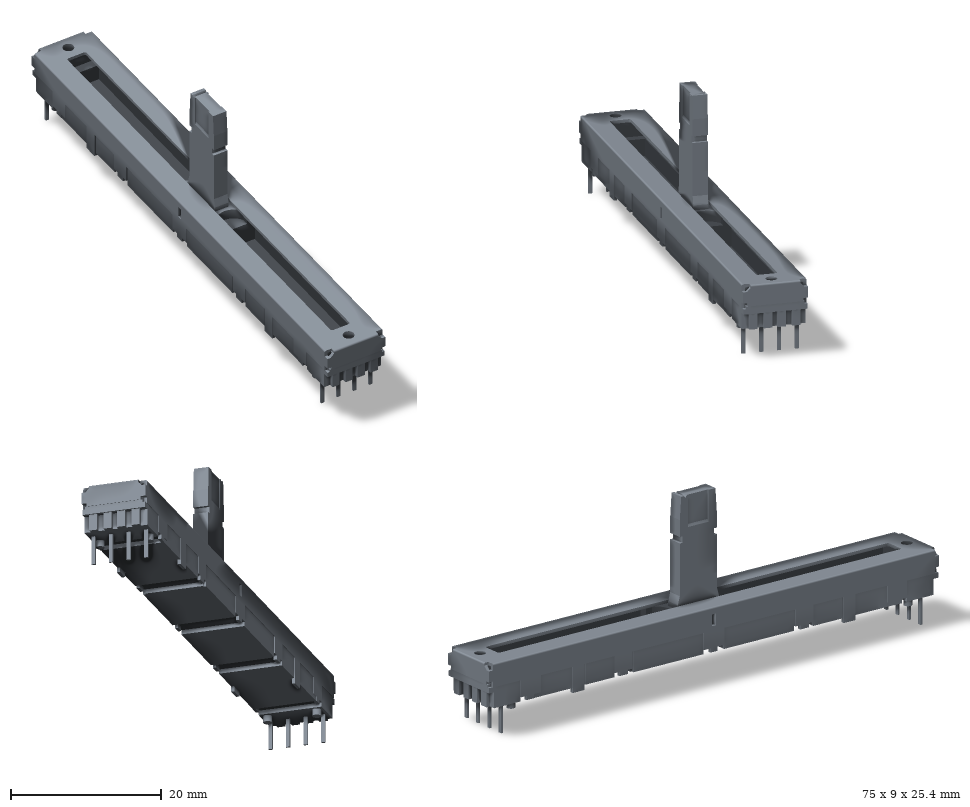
import cadquery as cq


LENGTH = 75.0
WIDTH = 9.0
SHEET = 0.45
SIDE_DEPTH = 3.3
END_DEPTH = 2.9
BEND_RADIUS = 0.2
RELIEF = 0.7
TOP_RELIEF_DEPTH = 0.9
TOP_RELIEF_WIDTH = 1.05
TOP_RELIEF_CHAMFER = 0.5
LOW_RELIEF_TOP = 2.5
SLOT_LENGTH = 67.2
SLOT_WIDTH = 2.9
SLOT_CORNER = 0.3
HOLE_DIAMETER = 1.6
HOLE_X = 35.55
HOLE_DEPTH = 2.25
WINDOW_WIDTH = 0.7
WINDOW_TOP = 1.0
WINDOW_HEIGHT = 1.65

LEG_DEPTH = 6.3
CHANNEL_TOP = 5.7
CENTRE_LEG_WIDTH = 3.45
CENTRE_FOOT_WIDTH = 1.2
INNER_LEG_X = 15.1
INNER_LEG_WIDTH = 3.0
INNER_FOOT_WIDTH = 1.4
TAB_X = 22.6
TAB_WIDTH = 1.95
TAB_DEPTH = 7.0
OUTER_LEG_X = 30.5
OUTER_LEG_WIDTH = 3.3
OUTER_FOOT_NEAR = 30.0
OUTER_FOOT_FAR = 31.3

BODY_INSET = 0.1
RECESS_FLOOR = 2.85
RECESS_LENGTH = 69.15
RECESS_WIDTH = 7.8
LEG_CLEARANCE = 0.2
LIP_BOTTOM = 4.05
RIB_INSET = 0.3
GROOVE_INSET = 0.9
CENTRE_GROOVE_HALF = 0.4
RIB_WIDTH = 1.1
SIDE_GROOVE_WIDTH = 0.9
TRACK_LENGTH = 66.6
TRACK_WIDTH = 6.75
TRACK_FLOOR = 5.25
PEG_DIAMETER = 1.2
PEG_X = 33.1
PEG_Y = 3.45
PEG_BOTTOM = 7.2

PIN_X = 34.95
PIN_PITCH = 2.5
PINS_PER_END = 4
PIN_THICKNESS = 0.3
PIN_WIDTH = 0.5
TOTAL_HEIGHT = 25.4
LEVER_TOP = 15.15
PIN_BOTTOM = TOTAL_HEIGHT - LEVER_TOP

CARRIAGE_LENGTH = 12.45
CARRIAGE_TOP = 0.7
SCOOP_RADIUS = 2.5
SCOOP_WIDTH = 4.35
SCOOP_EDGE_X = 4.0
SCOOP_FLOOR = 2.2
LEVER_WIDTH = 6.15
LEVER_THICKNESS = 2.1
LEVER_TIP_WIDTH = 5.7
LEVER_TAPER_Z = 11.9
FLARE_WIDTH = 6.8
FLARE_TOP = 1.2
NOTCH_BOTTOM = 8.6
NOTCH_TOP = 9.5
NOTCH_DEPTH = 0.45
MARK_X = -2.2
MARK_WIDTH = 0.45
MARK_DEPTH = 0.3
GRIP_WIDTH = 3.4
GRIP_BOTTOM = 10.65
GRIP_DEPTH = 0.15
GRIP_SLOPE = 0.4

ENDS = (-1, 1)


def block(x0, x1, y0, y1, z0, z1):
    """Box between two opposite corners, given in any order."""
    size = (abs(x1 - x0), abs(y1 - y0), abs(z1 - z0))
    centre = ((x0 + x1) / 2, (y0 + y1) / 2, (z0 + z1) / 2)
    return cq.Workplane("XY").box(*size).translate(centre)


def centred_block(length, width, z0, z1):
    return block(-length / 2, length / 2, -width / 2, width / 2, z0, z1)


def make_strip(x, width, z0, z1, side):
    """Upright strip of sheet in the plane of one long side, centred on x."""
    return block(x - width / 2, x + width / 2, side * (WIDTH / 2 - SHEET), side * WIDTH / 2, z0, z1)


def make_leg(leg_x, leg_width, foot_x, foot_width, side):
    """Leg bent down from a long side, narrowing to a foot at its lower end."""
    leg = make_strip(leg_x, leg_width, -CHANNEL_TOP, -SIDE_DEPTH, side)
    return leg.union(make_strip(foot_x, foot_width, -LEG_DEPTH, -CHANNEL_TOP, side))


def make_top_relief(end, side):
    """Cutter for an upper corner of the cover: a notch with its inner corner bevelled."""
    y_out = side * WIDTH / 2
    y_in = side * (WIDTH / 2 - TOP_RELIEF_WIDTH)
    return (cq.Workplane("YZ").workplane(offset=end * LENGTH / 2)
            .polyline([(y_out, 0), (y_out, -TOP_RELIEF_DEPTH),
                       (y_in + side * TOP_RELIEF_CHAMFER, -TOP_RELIEF_DEPTH),
                       (y_in, TOP_RELIEF_CHAMFER - TOP_RELIEF_DEPTH), (y_in, 0)])
            .close().extrude(-end * RELIEF))


def make_cover():
    cover = centred_block(LENGTH, WIDTH, -SIDE_DEPTH, 0)
    cover = cover.faces(">Z").edges().fillet(BEND_RADIUS)
    cover = cover.cut(centred_block(LENGTH - 2 * SHEET, WIDTH - 2 * SHEET, -SIDE_DEPTH, -SHEET))
    cover = cover.cut(centred_block(LENGTH, WIDTH - 2 * SHEET, -SIDE_DEPTH, -END_DEPTH))

    slot = centred_block(SLOT_LENGTH, SLOT_WIDTH, -SHEET, 0)
    cover = cover.cut(slot.edges("|Z").fillet(SLOT_CORNER))

    for end in ENDS:
        for side in ENDS:
            x_out, x_in = end * LENGTH / 2, end * (LENGTH / 2 - RELIEF)
            y_out, y_in = side * WIDTH / 2, side * (WIDTH / 2 - RELIEF)
            cover = cover.cut(make_top_relief(end, side))
            cover = cover.cut(block(x_in, x_out, y_in, y_out, -SIDE_DEPTH, -LOW_RELIEF_TOP))

    outer_foot_x = (OUTER_FOOT_NEAR + OUTER_FOOT_FAR) / 2
    outer_foot_width = OUTER_FOOT_FAR - OUTER_FOOT_NEAR
    for side in ENDS:
        cover = cover.union(make_leg(0, CENTRE_LEG_WIDTH, 0, CENTRE_FOOT_WIDTH, side))
        for end in ENDS:
            inner_x = end * INNER_LEG_X
            cover = cover.union(make_leg(inner_x, INNER_LEG_WIDTH, inner_x, INNER_FOOT_WIDTH, side))
            cover = cover.union(make_leg(end * OUTER_LEG_X, OUTER_LEG_WIDTH,
                                         end * outer_foot_x, outer_foot_width, side))
            cover = cover.union(make_strip(end * TAB_X, TAB_WIDTH, -TAB_DEPTH, -SIDE_DEPTH, side))
    return cover


def make_body():
    width = WIDTH - 2 * BODY_INSET
    core_length = LENGTH - 2 * GROOVE_INSET
    body = centred_block(core_length, width, -LEG_DEPTH, -SIDE_DEPTH)
    body = body.union(centred_block(core_length, WIDTH - 2 * SHEET, -SIDE_DEPTH, -SHEET))
    body = body.union(centred_block(LENGTH - 2 * BODY_INSET, width, -LIP_BOTTOM, -SIDE_DEPTH))
    body = body.union(centred_block(LENGTH - 2 * BODY_INSET, WIDTH - 2 * SHEET, -SIDE_DEPTH, -END_DEPTH))

    rib_length = LENGTH - 2 * RIB_INSET
    inner_rib_y = CENTRE_GROOVE_HALF + RIB_WIDTH / 2
    outer_rib_y = inner_rib_y + RIB_WIDTH + SIDE_GROOVE_WIDTH
    for rib_y in (-outer_rib_y, -inner_rib_y, inner_rib_y, outer_rib_y):
        rib = centred_block(rib_length, RIB_WIDTH, -LEG_DEPTH, -LIP_BOTTOM)
        body = body.union(rib.translate((0, rib_y, 0)))

    outer_leg_far = OUTER_LEG_X + OUTER_LEG_WIDTH / 2
    channels = [(-CENTRE_LEG_WIDTH / 2, CENTRE_LEG_WIDTH / 2)]
    for end in ENDS:
        channels.append((end * INNER_LEG_X - INNER_LEG_WIDTH / 2, end * INNER_LEG_X + INNER_LEG_WIDTH / 2))
        channels.append((end * OUTER_FOOT_NEAR, end * outer_leg_far))
    for x0, x1 in channels:
        body = body.cut(block(x0, x1, -width / 2, width / 2, -LEG_DEPTH, -CHANNEL_TOP))

    inner_edges = (TAB_X - TAB_WIDTH / 2, INNER_LEG_X - INNER_LEG_WIDTH / 2)
    for edge_x in inner_edges:
        for end in ENDS:
            for side in ENDS:
                groove_x = end * (edge_x - LEG_CLEARANCE / 2)
                body = body.cut(make_strip(groove_x, LEG_CLEARANCE, -LEG_DEPTH, -SIDE_DEPTH, side))

    body = body.cut(centred_block(RECESS_LENGTH, RECESS_WIDTH, -RECESS_FLOOR, -SHEET))
    body = body.cut(centred_block(TRACK_LENGTH, TRACK_WIDTH, -TRACK_FLOOR, -RECESS_FLOOR))

    pegs = (cq.Workplane("XY").workplane(offset=-PEG_BOTTOM)
            .rect(2 * PEG_X, 2 * PEG_Y, forConstruction=True).vertices()
            .circle(PEG_DIAMETER / 2).extrude(PEG_BOTTOM - CHANNEL_TOP))
    return body.union(pegs)


def make_pins():
    return (cq.Workplane("XY").workplane(offset=-PIN_BOTTOM)
            .rarray(2 * PIN_X, PIN_PITCH, 2, PINS_PER_END)
            .rect(PIN_THICKNESS, PIN_WIDTH).extrude(PIN_BOTTOM - CHANNEL_TOP))


def make_carriage():
    carriage = centred_block(CARRIAGE_LENGTH, TRACK_WIDTH, -TRACK_FLOOR, -CARRIAGE_TOP)
    scoop_x = SCOOP_EDGE_X + SCOOP_RADIUS
    scoops = (cq.Workplane("XY").workplane(offset=-SCOOP_FLOOR)
              .pushPoints([(-scoop_x, 0), (scoop_x, 0)])
              .circle(SCOOP_RADIUS).extrude(SCOOP_FLOOR))
    scoops = scoops.intersect(centred_block(CARRIAGE_LENGTH, SCOOP_WIDTH, -SCOOP_FLOOR, 0))
    return carriage.cut(scoops)


def make_lever():
    half_side = [
        (FLARE_WIDTH / 2, -CARRIAGE_TOP),
        (FLARE_WIDTH / 2, 0),
        (LEVER_WIDTH / 2, FLARE_TOP),
        (LEVER_WIDTH / 2, NOTCH_BOTTOM),
        (LEVER_WIDTH / 2 - NOTCH_DEPTH, NOTCH_BOTTOM),
        (LEVER_WIDTH / 2 - NOTCH_DEPTH, NOTCH_TOP),
        (LEVER_WIDTH / 2, NOTCH_TOP),
        (LEVER_WIDTH / 2, LEVER_TAPER_Z),
        (LEVER_TIP_WIDTH / 2, LEVER_TOP),
    ]
    other_side = [(-x, z) for x, z in reversed(half_side)]
    lever = (cq.Workplane("XZ").polyline(half_side + other_side).close()
             .extrude(LEVER_THICKNESS / 2, both=True))

    mark = (cq.Workplane("XZ")
            .polyline([(MARK_X - MARK_WIDTH / 2, LEVER_TOP), (MARK_X, LEVER_TOP - MARK_DEPTH),
                       (MARK_X + MARK_WIDTH / 2, LEVER_TOP)])
            .close().extrude(LEVER_THICKNESS / 2, both=True))
    lever = lever.cut(mark)

    for side in ENDS:
        face_y = side * LEVER_THICKNESS / 2
        floor_y = face_y - side * GRIP_DEPTH
        grip = (cq.Workplane("YZ").workplane(offset=-GRIP_WIDTH / 2)
                .polyline([(face_y, GRIP_BOTTOM), (floor_y, GRIP_BOTTOM + GRIP_SLOPE),
                           (floor_y, LEVER_TOP), (face_y, LEVER_TOP)])
                .close().extrude(GRIP_WIDTH))
        lever = lever.cut(grip)
    return lever


housing = make_cover().union(make_body())

holes = (cq.Workplane("XY").workplane(offset=-HOLE_DEPTH)
         .pushPoints([(-HOLE_X, 0), (HOLE_X, 0)]).circle(HOLE_DIAMETER / 2).extrude(HOLE_DEPTH))
housing = housing.cut(holes)
for side in ENDS:
    housing = housing.cut(block(-WINDOW_WIDTH / 2, WINDOW_WIDTH / 2,
                                side * (WIDTH / 2 - RELIEF), side * WIDTH / 2,
                                -WINDOW_TOP - WINDOW_HEIGHT, -WINDOW_TOP))

result = housing.union(make_pins()).union(make_carriage()).union(make_lever())